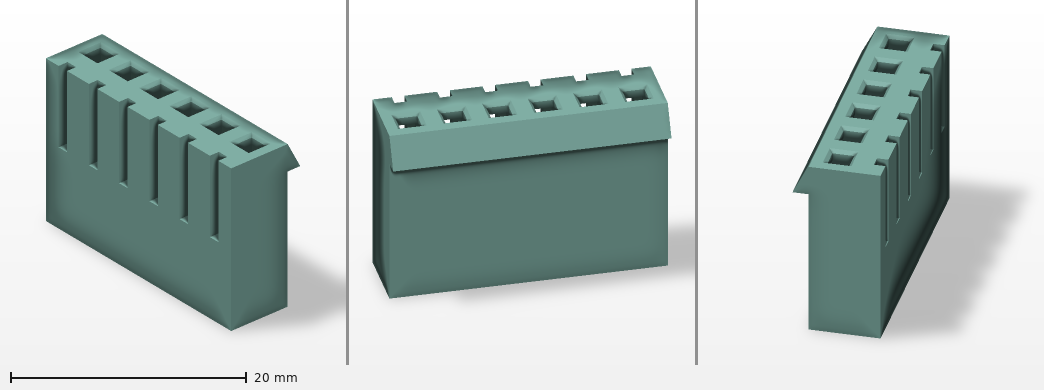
import cadquery as cq

positions = 6
pitch = 3.96
length = 24.27
height = 16.0
body_depth = 6.3

ramp_overhang = 1.4
ramp_height = 2.7

lip_thickness = 1.0
lip_z = height - lip_thickness
entry_size = 1.9
entry_chamfer = 0.3
mouth_size = entry_size + 2 * entry_chamfer
entry_y = 4.05

front_wall = 1.0
cavity_width = mouth_size
cavity_back_y = entry_y + mouth_size / 2
cavity_depth = cavity_back_y - front_wall

slot_width = 1.1
slot_depth = front_wall
slot_floor_z = height / 2

terminal_xs = [(i - (positions - 1) / 2) * pitch for i in range(positions)]


def make_body():
    """Housing block with the locking ramp, as one side profile extruded along X."""
    ramp_tip_y = body_depth + ramp_overhang
    ramp_base_z = height - ramp_height
    return (
        cq.Workplane("YZ", origin=(-length / 2, 0, 0))
        .moveTo(0, 0)
        .lineTo(body_depth, 0)
        .lineTo(body_depth, ramp_base_z)
        .lineTo(ramp_tip_y, ramp_base_z)
        .lineTo(body_depth, height)
        .lineTo(0, height)
        .close()
        .extrude(length)
    )


def make_cavity(x):
    """Rectangular terminal cavity from the base up to the lip."""
    cavity_y = (front_wall + cavity_back_y) / 2
    return (
        cq.Workplane("XY", origin=(x, cavity_y, 0))
        .rect(cavity_width, cavity_depth)
        .extrude(lip_z)
    )


def make_entry(x):
    """Square hole through the lip with a chamfered lead-in at the top."""
    hole = (
        cq.Workplane("XY", origin=(x, entry_y, lip_z))
        .rect(entry_size, entry_size)
        .extrude(lip_thickness)
    )
    lead_in = (
        cq.Workplane("XY", origin=(x, entry_y, height - entry_chamfer))
        .rect(entry_size, entry_size)
        .workplane(offset=entry_chamfer)
        .rect(mouth_size, mouth_size)
        .loft(ruled=True)
    )
    return hole.union(lead_in)


def make_slot(x):
    """Vertical slot in the front face, from mid-height to the top."""
    return (
        cq.Workplane("XY", origin=(x, slot_depth / 2, slot_floor_z))
        .rect(slot_width, slot_depth)
        .extrude(height - slot_floor_z)
    )


result = make_body()
for terminal_x in terminal_xs:
    result = result.cut(make_cavity(terminal_x))
    result = result.cut(make_entry(terminal_x))
    result = result.cut(make_slot(terminal_x))